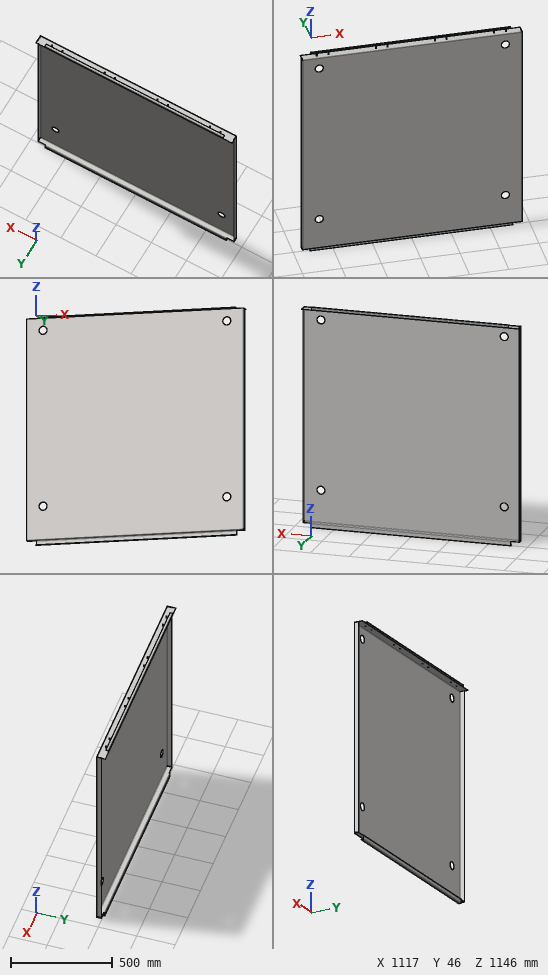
import cadquery as cq

WIDTH = 1117.0
DEPTH = 46.0
HEIGHT = 1146.0

SHEET = 1.5
BEND_INNER = 0.5
BEND_OUTER = BEND_INNER + SHEET

TOP_RIM_HEIGHT = 11.0
BOTTOM_RIM_HEIGHT = 22.0
TOP_RIM_WIDTH = 1015.0
BOTTOM_RIM_WIDTH = 1031.0
RIM_RETURN = 14.0

SIDE_WALL_DEPTH = 25.0
BOTTOM_FLANGE_DEPTH = 30.0

TOP_SEAM = 1.0
BOTTOM_GAP = 2.9

HOLE_DIAMETER = 40.0
HOLE_SPACING_X = 945.0
HOLE_SPACING_Z = 882.0
TOP_HOLE_DROP = 62.0

STUD_DIAMETER = 5.2
STUD_HEIGHT = 8.0
STUD_SETBACK = 23.0
STUD_PAIR_COUNT = 4
STUD_PAIR_PITCH = 300.0
STUD_PAIR_SPACING = 60.0

FRONT_Y = -DEPTH / 2
WALL_BACK_Y = FRONT_Y + SIDE_WALL_DEPTH
TRAY_TOP_Z = HEIGHT / 2 - TOP_RIM_HEIGHT
TRAY_BOTTOM_Z = -HEIGHT / 2 + BOTTOM_RIM_HEIGHT


def block(width, y_start, y_end, z_start, z_end, x_centre=0.0):
    """Box centred on x_centre and spanning the given Y and Z ranges."""
    return (
        cq.Workplane("XY")
        .box(width, y_end - y_start, z_end - z_start, centered=(True, False, False))
        .translate((x_centre, y_start, z_start))
    )


def make_tray():
    """Front panel with four walls bent backward and rounded at the bends."""
    outside = block(WIDTH, FRONT_Y, WALL_BACK_Y, TRAY_BOTTOM_Z, TRAY_TOP_Z)
    inside = block(
        WIDTH - 2 * SHEET,
        FRONT_Y + SHEET,
        WALL_BACK_Y,
        TRAY_BOTTOM_Z + SHEET,
        TRAY_TOP_Z - SHEET,
    )
    outside = outside.faces("<Y").edges().fillet(BEND_OUTER)
    inside = inside.faces("<Y").edges().fillet(BEND_INNER)
    return outside.cut(inside)


def cut_corners(tray):
    """Free the side walls from the top and bottom flanges behind the front bend."""
    bend_end_y = FRONT_Y + BEND_OUTER
    for side in (-1, 1):
        seam_x = side * (WIDTH / 2 - SHEET - TOP_SEAM / 2)
        seam = block(TOP_SEAM, bend_end_y, WALL_BACK_Y, TRAY_TOP_Z - SHEET, TRAY_TOP_Z, seam_x)
        gap_bottom_z = TRAY_BOTTOM_Z + SHEET
        gap_top_z = gap_bottom_z + BOTTOM_GAP
        gap = block(2 * SHEET, bend_end_y, WALL_BACK_Y, gap_bottom_z, gap_top_z, side * WIDTH / 2)
        tray = tray.cut(seam).cut(gap)
    return tray


def make_rim(width, flange_z, edge_z, back_y):
    """Flange extension behind the tray, an upright at its back and a return facing forward.

    flange_z is the outer face of the flange and edge_z the outer face of the return. The
    upright between them points up when edge_z lies above flange_z, and down otherwise.
    """
    direction = 1 if edge_z > flange_z else -1
    flange_inner_z = flange_z - direction * SHEET
    return_inner_z = edge_z - direction * SHEET
    return_front_y = back_y - RIM_RETURN
    inner_back_y = back_y - SHEET
    section = [
        (WALL_BACK_Y, flange_inner_z),
        (back_y, flange_inner_z),
        (back_y, edge_z),
        (return_front_y, edge_z),
        (return_front_y, return_inner_z),
        (inner_back_y, return_inner_z),
        (inner_back_y, flange_z),
        (WALL_BACK_Y, flange_z),
    ]
    rim = cq.Workplane("YZ").polyline(section).close().extrude(width / 2, both=True)
    rim = rim.edges("|X").edges(">Y").fillet(BEND_OUTER)
    for inner_z in (flange_z, return_inner_z):
        inner_bend = cq.selectors.NearestToPointSelector((0, inner_back_y, inner_z))
        rim = rim.edges("|X").edges(inner_bend).fillet(BEND_INNER)
    return rim


def make_panel():
    """Sheet-metal panel in one piece: tray, rims and mounting holes."""
    back_y = DEPTH / 2
    top_flange = block(WIDTH, WALL_BACK_Y, back_y, TRAY_TOP_Z - SHEET, TRAY_TOP_Z)
    top_rim = make_rim(TOP_RIM_WIDTH, TRAY_TOP_Z, HEIGHT / 2, back_y)
    bottom_back_y = FRONT_Y + BOTTOM_FLANGE_DEPTH
    bottom_rim = make_rim(BOTTOM_RIM_WIDTH, TRAY_BOTTOM_Z, -HEIGHT / 2, bottom_back_y)
    panel = cut_corners(make_tray()).union(top_flange).union(top_rim).union(bottom_rim)

    hole_centre_z = TRAY_TOP_Z - TOP_HOLE_DROP - HOLE_SPACING_Z / 2
    holes = (
        cq.Workplane("XZ", origin=(0, FRONT_Y, hole_centre_z))
        .rect(HOLE_SPACING_X, HOLE_SPACING_Z, forConstruction=True)
        .vertices()
        .circle(HOLE_DIAMETER / 2)
        .extrude(-SHEET)
    )
    return panel.cut(holes)


def make_stud(x):
    """Plain round stud standing on the top flange."""
    return (
        cq.Workplane("XY", origin=(x, FRONT_Y + STUD_SETBACK, TRAY_TOP_Z))
        .circle(STUD_DIAMETER / 2)
        .extrude(STUD_HEIGHT)
    )


panel = make_panel()

studs = []
for pair in range(STUD_PAIR_COUNT):
    pair_x = (pair - (STUD_PAIR_COUNT - 1) / 2) * STUD_PAIR_PITCH
    for side in (-1, 1):
        studs.append(make_stud(pair_x + side * STUD_PAIR_SPACING / 2))

result = cq.Compound.makeCompound([panel.val(), *[stud.val() for stud in studs]])